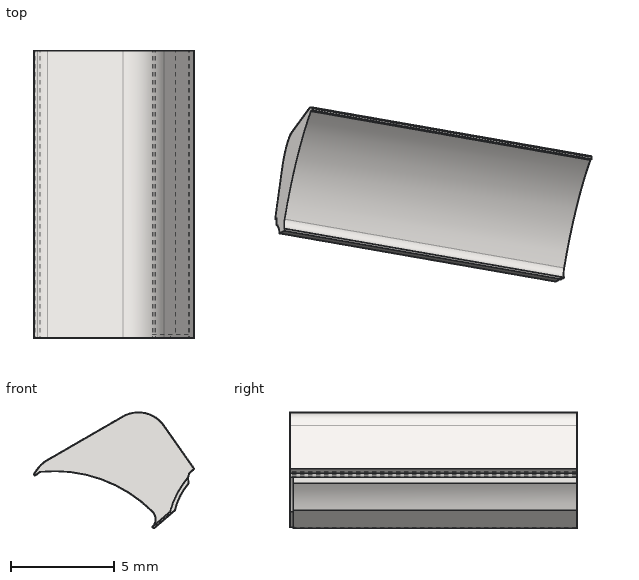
import cadquery as cq
import math

WIDTH = 7.76
LENGTH = 13.9
HEIGHT = 5.62

ROUND_RADIUS = 1.5
ROOF_ANGLE = 30.0
STEEP_ANGLE = 55.0
CREST_CENTER_X = 5.06
CREST_CENTER_Z = HEIGHT - ROUND_RADIUS
ROOF_START_X = 0.65

NOSE_BOTTOM = (0.06, 2.55)
HOLLOW_START = (0.30, 2.73)
HOLLOW_END = (5.76, 0.79)
HOLLOW_RADIUS = 6.7
LIP_SCOOP_MIDDLE = (5.883, 0.415)
LIP_TIP = (5.72, 0.06)
LIP_HEEL = (5.81, 0.0)

FLANK_TOP = (7.47, 2.48)
FLANK_SHOULDER = (7.52, 2.67)
FLANK_CORNER = (7.49, 2.18)
FLANK_MIDDLE = (7.07, 1.54)
FLANK_BOTTOM = (6.83, 0.88)

END_THICKNESS = 0.18
END_FLANK_MIDDLE = (6.945, 1.71)
END_FLANK_BOTTOM = (6.59, 0.81)


def on_circle(center, angle_from_vertical):
    """Point of an edge rounding, the angle measured clockwise from straight up."""
    angle = math.radians(angle_from_vertical)
    x = center[0] + ROUND_RADIUS * math.sin(angle)
    z = center[1] + ROUND_RADIUS * math.cos(angle)
    return (x, z)


def draw_upper_side(sketch):
    """Draw from the nose tip over the roof and crest to the right-hand point."""
    steep_slope = math.tan(math.radians(STEEP_ANGLE))
    roof_slope = math.tan(math.radians(ROOF_ANGLE))

    crest_center = (CREST_CENTER_X, CREST_CENTER_Z)
    roof_end = on_circle(crest_center, -ROOF_ANGLE)
    crest_end = on_circle(crest_center, STEEP_ANGLE)
    right_point = (WIDTH, crest_end[1] - steep_slope * (WIDTH - crest_end[0]))

    shift = roof_end[0] - ROOF_START_X
    nose_center = (CREST_CENTER_X - shift, CREST_CENTER_Z - shift * roof_slope)
    nose_start = on_circle(nose_center, -STEEP_ANGLE)
    nose_middle = on_circle(nose_center, -(STEEP_ANGLE + ROOF_ANGLE) / 2)
    roof_start = on_circle(nose_center, -ROOF_ANGLE)
    nose_tip = (0.0, nose_start[1] - steep_slope * nose_start[0])

    return (
        sketch.moveTo(*nose_tip)
        .lineTo(*nose_start)
        .threePointArc(nose_middle, roof_start)
        .lineTo(*roof_end)
        .threePointArc(on_circle(crest_center, 0.0), crest_end)
        .lineTo(*right_point)
    )


def draw_full_flank(sketch):
    """Draw the full lower right flank down to the lip tip."""
    return (
        sketch.lineTo(*FLANK_CORNER)
        .threePointArc(FLANK_MIDDLE, FLANK_BOTTOM)
        .lineTo(*LIP_HEEL)
        .lineTo(*LIP_TIP)
    )


def draw_end_flank(sketch):
    """Draw the set-back flank, which runs out to a sharp lip tip."""
    return (
        sketch.threePointArc(END_FLANK_MIDDLE, END_FLANK_BOTTOM)
        .lineTo(*LIP_TIP)
    )


def draw_underside(sketch):
    """Draw the lip scoop and the hollow back to the nose, then close the outline."""
    return (
        sketch.threePointArc(LIP_SCOOP_MIDDLE, HOLLOW_END)
        .radiusArc(HOLLOW_START, -HOLLOW_RADIUS)
        .lineTo(*NOSE_BOTTOM)
        .close()
    )


def make_section(draw_flank, y_start, y_end):
    """Extrude the outline with the given flank from y_start to y_end."""
    sketch = cq.Workplane("XZ", origin=(0, y_start, 0))
    sketch = draw_upper_side(sketch)
    sketch = sketch.lineTo(*FLANK_SHOULDER).lineTo(*FLANK_TOP)
    sketch = draw_flank(sketch)
    return draw_underside(sketch).extrude(y_start - y_end)


FRONT_Y = -LENGTH / 2
BACK_Y = LENGTH / 2
STEP_Y = FRONT_Y + END_THICKNESS

end_section = make_section(draw_end_flank, FRONT_Y, STEP_Y)
main_section = make_section(draw_full_flank, STEP_Y, BACK_Y)
result = main_section.union(end_section)